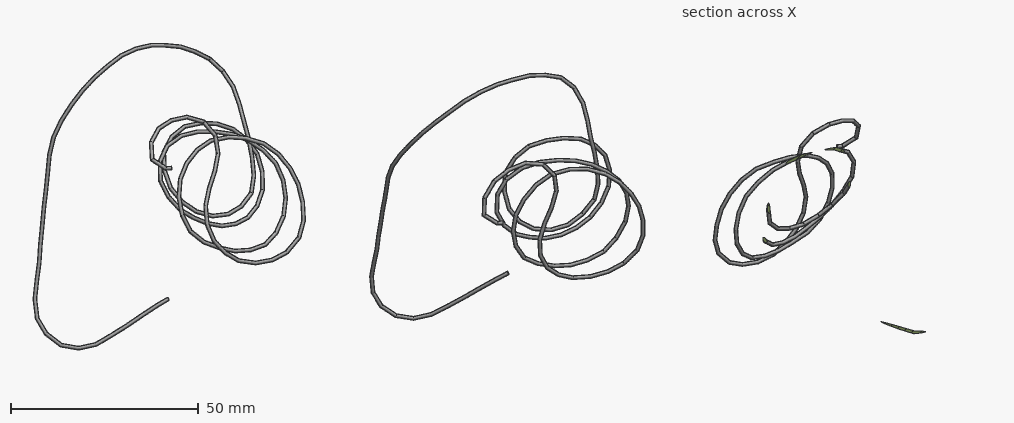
import cadquery as cq


WIRE_RADIUS = 0.5


LEAD_IN = [
    (15.3, 36.55, 10.8), (15.45, 33.1, 9.4), (15.5, 28.75, 7.25), (15.7, 24.2, 5.0),
    (15.8, 19.8, 3.0), (15.9, 15.1, 1.0),
]

FRONT_RISE = [
    (15.5, 10.25, 0.5), (14.1, 5.75, 1.5), (12.2, 2.2, 4.65), (10.1, 0.55, 8.5),
    (8.6, 0.55, 13.55), (7.9, 1.4, 18.1), (7.4, 2.4, 23.2), (6.8, 3.0, 28.0),
    (6.4, 3.7, 32.85), (6.2, 4.25, 37.8), (6.2, 4.9, 42.85), (6.3, 5.35, 47.6),
    (6.5, 5.75, 52.55), (6.8, 6.85, 57.35), (6.9, 9.05, 61.8), (7.2, 11.9, 65.85),
    (7.2, 15.2, 69.6), (7.0, 18.9, 72.7), (6.5, 22.9, 75.2), (5.7, 27.25, 77.3),
    (4.6, 32.1, 78.2),
]

DESCENT = [
    (3.4, 37.0, 78.2), (2.3, 41.7, 77.3), (1.2, 46.55, 75.95), (0.6, 51.0, 73.9),
    (0.6, 55.3, 71.3), (2.3, 58.45, 67.9), (5.3, 60.1, 64.2), (8.35, 60.5, 60.3),
    (11.2, 60.6, 56.2), (13.0, 61.1, 51.75), (14.7, 61.4, 47.1),
]

LOOP_1 = [
    (16.2, 61.2, 42.4), (17.9, 59.7, 38.1), (19.8, 55.9, 35.45), (21.5, 51.4, 34.35),
    (22.05, 46.5, 34.6), (21.8, 41.8, 36.4), (20.6, 38.3, 39.15), (18.2, 36.0, 42.6),
    (15.2, 35.5, 46.7), (12.6, 36.5, 51.0), (10.7, 39.7, 54.35), (9.45, 43.95, 56.3),
]

LOOP_2 = [
    (9.05, 49.0, 56.6), (8.9, 53.7, 55.7), (8.8, 58.45, 53.6), (9.4, 62.15, 50.35),
    (10.55, 64.75, 46.3), (12.1, 65.55, 41.7), (14.0, 64.75, 37.3), (16.4, 62.1, 33.8),
    (18.6, 58.4, 31.7), (20.6, 54.0, 31.0), (22.1, 49.2, 31.5), (23.25, 44.6, 33.1),
    (23.5, 40.3, 35.3), (23.5, 36.5, 38.0), (22.5, 33.4, 41.75), (20.8, 31.8, 45.9),
    (18.7, 32.6, 50.65), (17.0, 35.5, 54.2), (15.8, 40.2, 56.1),
]

LOOP_3 = [
    (15.5, 45.1, 56.5), (15.75, 50.3, 55.85), (16.4, 54.8, 54.75), (17.3, 59.1, 52.9),
    (18.4, 63.0, 49.8), (19.6, 66.1, 46.1), (20.6, 67.8, 41.4), (21.5, 68.15, 36.7),
    (22.9, 66.9, 32.2), (24.8, 63.8, 28.45), (26.7, 59.8, 26.2), (27.9, 54.9, 25.7),
    (28.7, 50.0, 26.2), (28.9, 45.5, 27.7), (28.5, 41.05, 29.85), (28.05, 37.35, 33.2),
    (27.0, 35.4, 37.65), (25.5, 35.05, 42.15), (23.8, 36.2, 46.7), (22.0, 39.0, 50.35),
    (20.1, 42.9, 53.0),
]

LOOP_4 = [
    (19.0, 47.35, 54.7), (18.9, 52.55, 55.0), (19.5, 57.3, 54.3), (21.3, 61.85, 52.6),
    (22.9, 65.4, 49.7), (24.6, 68.1, 45.85), (26.0, 69.8, 41.6), (27.25, 70.5, 36.9),
    (28.75, 70.1, 32.2), (29.9, 68.2, 28.05), (30.7, 64.3, 24.65), (31.3, 59.8, 23.25),
    (31.5, 54.8, 23.1), (31.6, 49.8, 24.4), (31.6, 45.9, 27.1),
]

TAIL = [
    (31.0, 42.9, 30.6), (29.9, 41.35, 35.05), (28.4, 41.6, 39.9), (26.3, 43.6, 43.9),
    (24.7, 45.9, 48.0), (22.7, 47.8, 52.1), (21.0, 47.75, 56.65), (19.4, 45.1, 60.35),
    (19.0, 40.3, 62.15), (20.0, 35.4, 62.15), (21.75, 30.9, 61.0), (24.5, 27.4, 58.3),
    (27.0, 26.55, 54.35), (28.9, 29.7, 52.0), (29.2, 31.2, 52.0),
]

CENTRE_LINE = LEAD_IN + FRONT_RISE + DESCENT + LOOP_1 + LOOP_2 + LOOP_3 + LOOP_4 + TAIL


def centre_wire(corners):
    """Open chain of straight links through the corners."""
    return cq.Wire.makePolygon([cq.Vector(*corner) for corner in corners])


def round_wire(corners, radius):
    """Solid wire: a disc square to the first link, swept with mitred corners."""
    start = cq.Vector(*corners[0])
    first_link = cq.Vector(*corners[1]) - start
    disc = cq.Workplane(cq.Plane(start, normal=first_link)).circle(radius)
    return disc.sweep(cq.Workplane(obj=centre_wire(corners)), transition="right")


result = round_wire(CENTRE_LINE, WIRE_RADIUS)